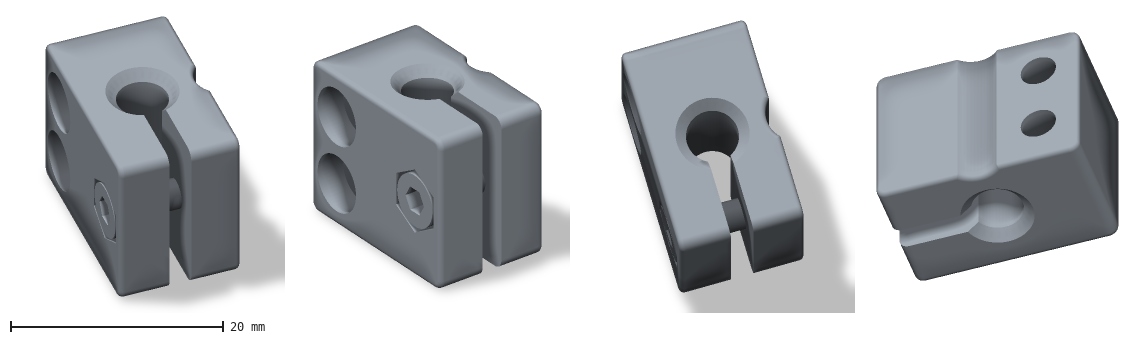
import cadquery as cq
import math

LENGTH = 20.2
WIDTH = 12.2
HEIGHT = 16.2
SIDE_RADIUS = 1.0
FACE_RADIUS = 0.5
FRONT_Y = -WIDTH / 2
BACK_Y = WIDTH / 2
TOP_Z = HEIGHT / 2

BORE_DIAMETER = 5.0
BORE_CHAMFER = 1.0
SLOT_WIDTH = 2.2

GROOVE_DIAMETER = 5.5
GROOVE_DEPTH = 0.8

MOUNT_X = -6.1
MOUNT_SPACING = 7.2
MOUNT_DIAMETER = 3.5
COUNTERBORE_DIAMETER = 6.0
COUNTERBORE_DEPTH = 3.0

SCREW_X = 6.1
SCREW_DIAMETER = 3.0
HEAD_DIAMETER = 5.5
HEAD_POCKET_FLATS = 5.9
HEAD_POCKET_TURN = 30.0
HEAD_HEIGHT = 3.0
SCREW_END_COVER = 1.0
SOCKET_FLATS = 2.5
SOCKET_DEPTH = 2.0


def hexagon_diameter(across_flats):
    """Diameter over the corners of a regular hexagon."""
    return across_flats / math.cos(math.pi / 6)


def front_plane(x, z=0.0):
    """Sketch plane on the front face whose normal points into the block."""
    return cq.Workplane(cq.Plane(origin=(x, FRONT_Y, z), xDir=(1, 0, 0), normal=(0, 1, 0)))


def rounded_block():
    """Block with the relief groove, rounded around its front, back and groove ends."""
    block = cq.Workplane("XY").box(LENGTH, WIDTH, HEIGHT)
    block = block.edges("|Y").fillet(SIDE_RADIUS)
    block = block.faces("<Y").edges().fillet(FACE_RADIUS)

    groove_radius = GROOVE_DIAMETER / 2
    groove_y = BACK_Y - GROOVE_DEPTH + groove_radius
    groove = cq.Workplane("XY").center(0, groove_y).circle(groove_radius).extrude(TOP_Z, both=True)
    block = block.cut(groove)

    back_outline = block.faces(">Y").edges("%CIRCLE or <X or >X or <Z or >Z")
    groove_ends = block.faces("<Z or >Z").edges("%CIRCLE")
    return back_outline.add(groove_ends).fillet(FACE_RADIUS)


def clamp_opening():
    """Through bore, chamfered at both ends, with the slot out to the +X side."""
    bore_radius = BORE_DIAMETER / 2
    chamfer_radius = bore_radius + BORE_CHAMFER
    bore = (
        cq.Workplane("XZ")
        .moveTo(0, -TOP_Z)
        .lineTo(chamfer_radius, -TOP_Z)
        .lineTo(bore_radius, -TOP_Z + BORE_CHAMFER)
        .lineTo(bore_radius, TOP_Z - BORE_CHAMFER)
        .lineTo(chamfer_radius, TOP_Z)
        .lineTo(0, TOP_Z)
        .close()
        .revolve(360, (0, 0, 0), (0, 1, 0))
    )
    slot = cq.Workplane("XY").box(LENGTH / 2, SLOT_WIDTH, HEIGHT, centered=(False, True, True))
    return bore.union(slot)


def mounting_hole(z):
    """Through hole along Y, counterbored from the front face."""
    hole = front_plane(MOUNT_X, z).circle(MOUNT_DIAMETER / 2).extrude(WIDTH)
    counterbore = front_plane(MOUNT_X, z).circle(COUNTERBORE_DIAMETER / 2).extrude(COUNTERBORE_DEPTH)
    return hole.union(counterbore)


def head_pocket():
    """Hexagonal pocket for the screw head, with corners pointing along Z."""
    pocket = front_plane(SCREW_X).transformed(rotate=(0, 0, HEAD_POCKET_TURN))
    return pocket.polygon(6, hexagon_diameter(HEAD_POCKET_FLATS)).extrude(HEAD_HEIGHT)


def clamp_screw():
    """Socket head screw that crosses the slot into the back half of the clamp."""
    head = front_plane(SCREW_X).circle(HEAD_DIAMETER / 2).extrude(HEAD_HEIGHT)
    shank = front_plane(SCREW_X).circle(SCREW_DIAMETER / 2).extrude(WIDTH - SCREW_END_COVER)
    socket = front_plane(SCREW_X).polygon(6, hexagon_diameter(SOCKET_FLATS)).extrude(SOCKET_DEPTH)
    return head.union(shank).cut(socket)


result = rounded_block().cut(clamp_opening()).cut(head_pocket())
for side in (-1, 1):
    result = result.cut(mounting_hole(side * MOUNT_SPACING / 2))
result = result.union(clamp_screw())